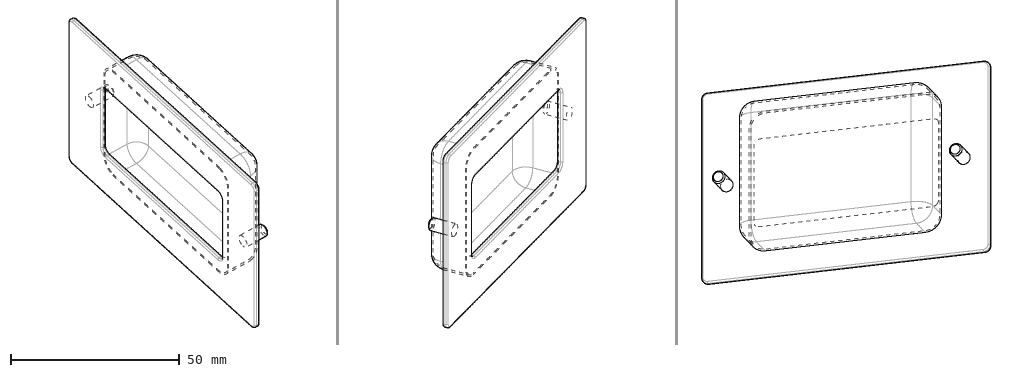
import cadquery as cq

plate_width = 90.0
plate_height = 60.0
plate_thickness = 1.7
plate_corner_radius = 2.0
edge_radius = 0.5

opening_width = 58.0
opening_height = 28.0
opening_corner_radius = 2.0

overall_depth = 15.0
tray_width = 60.0
tray_height = 44.0
tray_radius = 5.0
tray_wall = 0.5
tray_depth = overall_depth - plate_thickness

stud_diameter = 4.0
stud_edge_inset = 8.0
stud_tip_depth = 9.7
stud_tip_chamfer = 0.45
stud_length = stud_tip_depth - plate_thickness
stud_spacing = plate_width - 2 * stud_edge_inset


def block_facing_back(width, height, depth, start):
    """Box centred on X and Z that runs toward +Y from Y = start."""
    return cq.Workplane("XY").box(width, depth, height).translate((0, start + depth / 2, 0))


def rounded_pan(width, height, depth, radius):
    """Block behind the plate with rounded sides and a rounded back edge."""
    block = block_facing_back(width, height, depth, plate_thickness)
    return block.edges("|Y").fillet(radius).faces(">Y").edges().fillet(radius)


def make_stud(x):
    """Round stud with a chamfered tip, standing on the back face of the plate."""
    stud = cq.Workplane("XZ").circle(stud_diameter / 2).extrude(-stud_length)
    return stud.faces(">Y").chamfer(stud_tip_chamfer).translate((x, plate_thickness, 0))


def make_plate():
    """Plate with two studs; its rim and its opening are rounded at the front and back edges."""
    plate = block_facing_back(plate_width, plate_height, plate_thickness, 0)
    plate = plate.edges("|Y").fillet(plate_corner_radius)
    opening = block_facing_back(opening_width, opening_height, plate_thickness, 0)
    plate = plate.cut(opening.edges("|Y").fillet(opening_corner_radius))
    plate = plate.faces("<Y or >Y").edges().fillet(edge_radius)
    for side in (-1, 1):
        plate = plate.union(make_stud(side * stud_spacing / 2))
    return plate


def make_tray():
    """Thin-walled tray, open toward the plate."""
    outside = rounded_pan(tray_width, tray_height, tray_depth, tray_radius)
    inside = rounded_pan(
        tray_width - 2 * tray_wall,
        tray_height - 2 * tray_wall,
        tray_depth - tray_wall,
        tray_radius - tray_wall,
    )
    return outside.cut(inside)


plate = make_plate()
tray = make_tray()
result = cq.Compound.makeCompound([plate.val(), tray.val()])